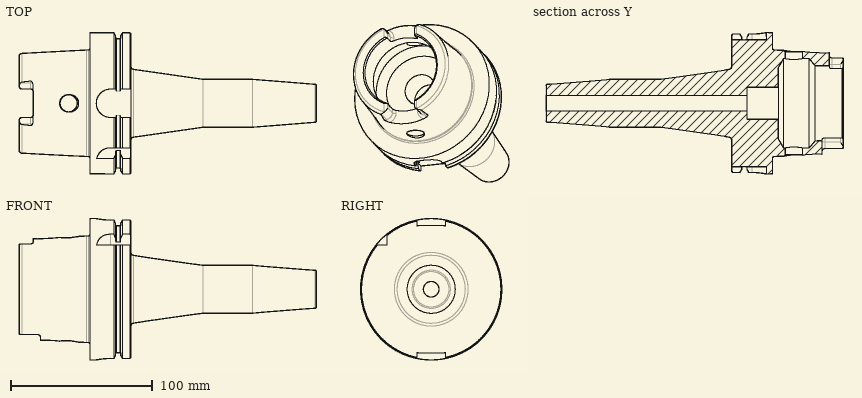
import cadquery as cq
import math


TAPER_LENGTH = 50.0
TAPER_BASE_RADIUS = 75.42 / 2
TAPER_RATIO = 1 / 20
COLLAR_END = 1.0
COLLAR_LENGTH = 1.5
TAPER_TIP_FILLET = 2.0

FLANGE_RADIUS = 50.0
FLANGE_WIDTH = 29.0
FLANGE_CHAMFER = 0.8
GROOVE_CENTRE = 20.0
GROOVE_RADIUS = 45.8
GROOVE_TOP_WIDTH = 6.2
GROOVE_FLOOR_WIDTH = 3.6
GROOVE_FLOOR_FILLET = 0.7
GROOVE_SIDE_ANGLE = 30.0

NOSE_END = 160.0
NECK_ROOT_RADIUS = 24.3
NECK_ROOT_FILLET = 2.0
NECK_RADIUS = 34.0 / 2
NECK_CONE_END = 80.0
NECK_CYLINDER_END = 115.0
NOSE_FACE_RADIUS = 25.0 / 2
NOSE_FILLET = 1.0

BORE_RADIUS = 53.0 / 2
BORE_MOUTH_CHAMFER = 1.0
BORE_DEPTH = 20.0
CLAMP_RADIUS = 63.0 / 2
CLAMP_ANGLE = 50.0
FLOOR_X = -4.0
FLOOR_RADIUS = 25.0
FLOOR_CONE_ANGLE = 30.0
COOLANT_RADIUS = 22.38 / 2
COOLANT_DEPTH = 22.0
TOOL_BORE_RADIUS = 10.92 / 2

CROSS_HOLE_DIAMETER = 12.0
CROSS_HOLE_X = -15.0
CROSS_HOLE_CHAMFER = 0.3

DRIVE_HALF_WIDTH = 10.0
DRIVE_LEDGE_HEIGHT = 32.0
DRIVE_CORNER_RADIUS = 4.5
DRIVE_EDGE_RADIUS = 2.0
TOP_DRIVE_DEPTH = 10.0
BOTTOM_DRIVE_DEPTH = 15.0

KEYWAY_WIDTH = 20.0
KEYWAY_CENTRE_X = 14.5
KEYWAY_FLOOR = 45.0
NOTCH_OFFSET = 31.4


def fillet_point(centre_x, centre_r, radius, degrees):
    """Point on a fillet circle in the (x, radius) half plane."""
    angle = math.radians(degrees)
    return (centre_x + radius * math.cos(angle), centre_r + radius * math.sin(angle))


def outer_body():
    """Taper, flange, neck and nose as one solid of revolution."""
    tip_radius = TAPER_BASE_RADIUS - TAPER_RATIO * (TAPER_LENGTH - COLLAR_END - COLLAR_LENGTH)
    tip_face_radius = tip_radius - TAPER_TIP_FILLET
    groove_half_top = GROOVE_TOP_WIDTH / 2
    groove_half_floor = GROOVE_FLOOR_WIDTH / 2
    groove_side_depth = (groove_half_top - groove_half_floor) / math.tan(math.radians(GROOVE_SIDE_ANGLE))
    groove_wall_top = FLANGE_RADIUS - groove_side_depth
    groove_fillet_x = groove_half_floor - GROOVE_FLOOR_FILLET
    groove_fillet_r = GROOVE_RADIUS + GROOVE_FLOOR_FILLET

    neck_slope = math.atan2(NECK_ROOT_RADIUS - NECK_RADIUS, NECK_CONE_END - FLANGE_WIDTH)
    root_x = FLANGE_WIDTH + NECK_ROOT_FILLET
    root_r = (NECK_ROOT_RADIUS - NECK_ROOT_FILLET * math.tan(neck_slope)
              + NECK_ROOT_FILLET / math.cos(neck_slope))
    root_end_angle = 270 - math.degrees(neck_slope)
    root_middle_angle = (180 + root_end_angle) / 2

    profile = (
        cq.Workplane("XY")
        .moveTo(-TAPER_LENGTH, 0)
        .lineTo(-TAPER_LENGTH, tip_face_radius)
        .threePointArc(
            fillet_point(TAPER_TIP_FILLET - TAPER_LENGTH, tip_face_radius, TAPER_TIP_FILLET, 135),
            (TAPER_TIP_FILLET - TAPER_LENGTH, tip_radius),
        )
        .lineTo(-COLLAR_END - COLLAR_LENGTH, TAPER_BASE_RADIUS)
        .lineTo(-COLLAR_END, TAPER_BASE_RADIUS)
        .threePointArc(
            fillet_point(-COLLAR_END, TAPER_BASE_RADIUS + COLLAR_END, COLLAR_END, -45),
            (0, TAPER_BASE_RADIUS + COLLAR_END),
        )
        .lineTo(0, FLANGE_RADIUS)
        .lineTo(GROOVE_CENTRE - groove_half_top, FLANGE_RADIUS)
        .lineTo(GROOVE_CENTRE - groove_half_floor, groove_wall_top)
        .lineTo(GROOVE_CENTRE - groove_half_floor, groove_fillet_r)
        .threePointArc(
            fillet_point(GROOVE_CENTRE - groove_fillet_x, groove_fillet_r, GROOVE_FLOOR_FILLET, 225),
            (GROOVE_CENTRE - groove_fillet_x, GROOVE_RADIUS),
        )
        .lineTo(GROOVE_CENTRE + groove_fillet_x, GROOVE_RADIUS)
        .threePointArc(
            fillet_point(GROOVE_CENTRE + groove_fillet_x, groove_fillet_r, GROOVE_FLOOR_FILLET, -45),
            (GROOVE_CENTRE + groove_half_floor, groove_fillet_r),
        )
        .lineTo(GROOVE_CENTRE + groove_half_floor, groove_wall_top)
        .lineTo(GROOVE_CENTRE + groove_half_top, FLANGE_RADIUS)
        .lineTo(FLANGE_WIDTH - FLANGE_CHAMFER, FLANGE_RADIUS)
        .lineTo(FLANGE_WIDTH, FLANGE_RADIUS - FLANGE_CHAMFER)
        .lineTo(FLANGE_WIDTH, root_r)
        .threePointArc(
            fillet_point(root_x, root_r, NECK_ROOT_FILLET, root_middle_angle),
            fillet_point(root_x, root_r, NECK_ROOT_FILLET, root_end_angle),
        )
        .lineTo(NECK_CONE_END, NECK_RADIUS)
        .lineTo(NECK_CYLINDER_END, NECK_RADIUS)
        .lineTo(NOSE_END - NOSE_FILLET, NOSE_FACE_RADIUS + NOSE_FILLET)
        .threePointArc(
            fillet_point(NOSE_END - NOSE_FILLET, NOSE_FACE_RADIUS, NOSE_FILLET, 45),
            (NOSE_END, NOSE_FACE_RADIUS),
        )
        .lineTo(NOSE_END, 0)
        .close()
    )
    return profile.revolve(360, (0, 0, 0), (1, 0, 0))


def inner_cavity():
    """Bore, clamping groove, coolant seat and tool bore."""
    clamp_start = BORE_DEPTH - TAPER_LENGTH
    clamp_length = (CLAMP_RADIUS - BORE_RADIUS) / math.tan(math.radians(CLAMP_ANGLE))
    rim_length = (CLAMP_RADIUS - FLOOR_RADIUS) * math.tan(math.radians(FLOOR_CONE_ANGLE))
    coolant_end = FLOOR_X + COOLANT_DEPTH
    profile = (
        cq.Workplane("XY")
        .moveTo(-TAPER_LENGTH, 0)
        .lineTo(-TAPER_LENGTH, BORE_RADIUS + BORE_MOUTH_CHAMFER)
        .lineTo(-TAPER_LENGTH + BORE_MOUTH_CHAMFER, BORE_RADIUS)
        .lineTo(clamp_start, BORE_RADIUS)
        .lineTo(clamp_start + clamp_length, CLAMP_RADIUS)
        .lineTo(FLOOR_X - rim_length, CLAMP_RADIUS)
        .lineTo(FLOOR_X, FLOOR_RADIUS)
        .lineTo(FLOOR_X, COOLANT_RADIUS)
        .lineTo(coolant_end, COOLANT_RADIUS)
        .lineTo(coolant_end, TOOL_BORE_RADIUS)
        .lineTo(NOSE_END, TOOL_BORE_RADIUS)
        .lineTo(NOSE_END, 0)
        .close()
    )
    return profile.revolve(360, (0, 0, 0), (1, 0, 0))


def cross_hole():
    """Hole through one wall of the taper, along Z, with a chamfered rim."""
    radius = CROSS_HOLE_DIAMETER / 2
    taper_radius = TAPER_BASE_RADIUS - TAPER_RATIO * (-CROSS_HOLE_X - COLLAR_END - COLLAR_LENGTH)
    rim_z = math.sqrt(taper_radius**2 - radius**2)
    chamfer_start = rim_z - CROSS_HOLE_CHAMFER
    cone_top = taper_radius + radius * TAPER_RATIO + CROSS_HOLE_CHAMFER
    profile = cq.Workplane("XZ", origin=(CROSS_HOLE_X, 0, 0)).polyline([
        (0, 0),
        (radius, 0),
        (radius, chamfer_start),
        (radius + cone_top - chamfer_start, cone_top),
        (0, cone_top),
    ]).close()
    return profile.revolve(360, (0, 0, 0), (0, 1, 0))


def drive_slot(depth):
    """Cutter for the upper drive slot: a channel that opens onto flat ledges."""
    corner_y = DRIVE_HALF_WIDTH + DRIVE_CORNER_RADIUS
    corner_z = DRIVE_LEDGE_HEIGHT - DRIVE_CORNER_RADIUS
    corner_middle = DRIVE_CORNER_RADIUS * math.sqrt(0.5)
    channel = (
        cq.Workplane("YZ", origin=(-TAPER_LENGTH, 0, 0))
        .moveTo(-DRIVE_HALF_WIDTH, 0)
        .lineTo(DRIVE_HALF_WIDTH, 0)
        .lineTo(DRIVE_HALF_WIDTH, corner_z)
        .threePointArc(
            (corner_y - corner_middle, corner_z + corner_middle),
            (corner_y, DRIVE_LEDGE_HEIGHT),
        )
        .lineTo(FLANGE_RADIUS, DRIVE_LEDGE_HEIGHT)
        .lineTo(FLANGE_RADIUS, FLANGE_RADIUS)
        .lineTo(-FLANGE_RADIUS, FLANGE_RADIUS)
        .lineTo(-FLANGE_RADIUS, DRIVE_LEDGE_HEIGHT)
        .lineTo(-corner_y, DRIVE_LEDGE_HEIGHT)
        .threePointArc(
            (corner_middle - corner_y, corner_z + corner_middle),
            (-DRIVE_HALF_WIDTH, corner_z),
        )
        .close()
        .extrude(depth)
    )
    root_edges = channel.faces(">X").edges("not(<Y or >Y or <Z or >Z)")
    rounded = root_edges.fillet(DRIVE_EDGE_RADIUS)
    return rounded.union(drive_slot_mouth())


def drive_slot_mouth():
    """Cutter that rounds the slot walls where they meet the end face."""
    mouth_y = DRIVE_HALF_WIDTH + DRIVE_EDGE_RADIUS
    straight_x = DRIVE_EDGE_RADIUS - TAPER_LENGTH
    middle = DRIVE_EDGE_RADIUS * math.sqrt(0.5)
    return (
        cq.Workplane("XY")
        .moveTo(-TAPER_LENGTH, -mouth_y)
        .threePointArc((straight_x - middle, middle - mouth_y), (straight_x, -DRIVE_HALF_WIDTH))
        .lineTo(straight_x, DRIVE_HALF_WIDTH)
        .threePointArc((straight_x - middle, mouth_y - middle), (-TAPER_LENGTH, mouth_y))
        .close()
        .extrude(DRIVE_LEDGE_HEIGHT)
    )


def keyway(centre_y, floor_z):
    """Round-ended keyway cutter that runs out through the rear of the flange."""
    radius = KEYWAY_WIDTH / 2
    length = FLANGE_WIDTH - KEYWAY_CENTRE_X
    floor = cq.Workplane("XY", origin=(KEYWAY_CENTRE_X, centre_y, floor_z))
    round_end = floor.circle(radius).extrude(FLANGE_RADIUS)
    straight = floor.center(length / 2, 0).rect(length, KEYWAY_WIDTH).extrude(FLANGE_RADIUS)
    return round_end.union(straight)


def underside(cutter):
    """The same cutter turned half a turn about the X axis."""
    return cutter.rotate((0, 0, 0), (1, 0, 0), 180)


result = outer_body().cut(inner_cavity())
result = result.cut(cross_hole()).cut(underside(cross_hole()))
result = result.cut(drive_slot(TOP_DRIVE_DEPTH)).cut(underside(drive_slot(BOTTOM_DRIVE_DEPTH)))
result = result.cut(keyway(0, KEYWAY_FLOOR)).cut(underside(keyway(0, KEYWAY_FLOOR)))
result = result.cut(keyway(-NOTCH_OFFSET - KEYWAY_WIDTH / 2, NOTCH_OFFSET))